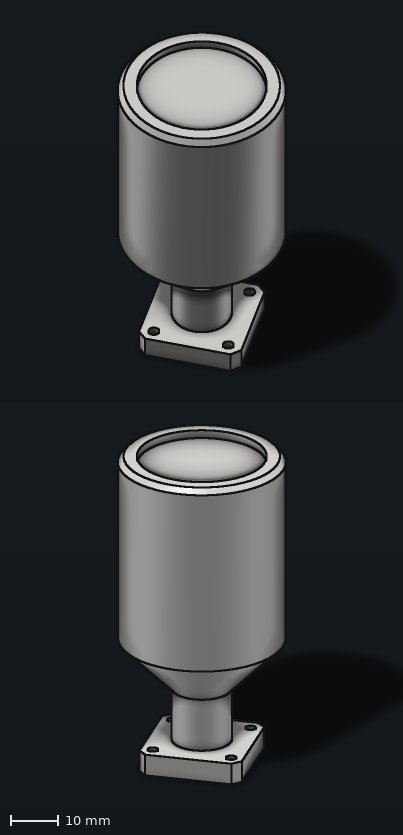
import cadquery as cq

total_height = 69.85
flange_height = 4.8
neck_top = 16.55
cone_top = 28.0

body_diameter = 35.55
neck_diameter = 12.8
rim_chamfer = 1.25
recess_diameter = 27.4
recess_depth = 1.8

flange_width = 22.4
corner_chamfer = 1.8
hole_diameter = 2.25
hole_spacing_x = 16.3
hole_spacing_y = 17.05


def make_body():
    """Revolved neck, cone and cylinder with a chamfered upper rim."""
    body_radius = body_diameter / 2
    neck_radius = neck_diameter / 2
    return (
        cq.Workplane("XZ")
        .moveTo(0, 0)
        .lineTo(neck_radius, 0)
        .lineTo(neck_radius, neck_top)
        .lineTo(body_radius, cone_top)
        .lineTo(body_radius, total_height - rim_chamfer)
        .lineTo(body_radius - rim_chamfer, total_height)
        .lineTo(0, total_height)
        .close()
        .revolve(360, (0, 0, 0), (0, 1, 0))
    )


def make_flange():
    """Square plate with chamfered corners."""
    return (
        cq.Workplane("XY")
        .rect(flange_width, flange_width)
        .extrude(flange_height)
        .edges("|Z")
        .chamfer(corner_chamfer)
    )


def make_mounting_holes():
    """Four through holes in a slightly oblong pattern."""
    return (
        cq.Workplane("XY")
        .rect(hole_spacing_x, hole_spacing_y, forConstruction=True)
        .vertices()
        .circle(hole_diameter / 2)
        .extrude(flange_height)
    )


def make_recess():
    """Shallow round recess in the top face."""
    return (
        cq.Workplane("XY")
        .workplane(offset=total_height - recess_depth)
        .circle(recess_diameter / 2)
        .extrude(recess_depth)
    )


result = make_flange().cut(make_mounting_holes()).union(make_body()).cut(make_recess())